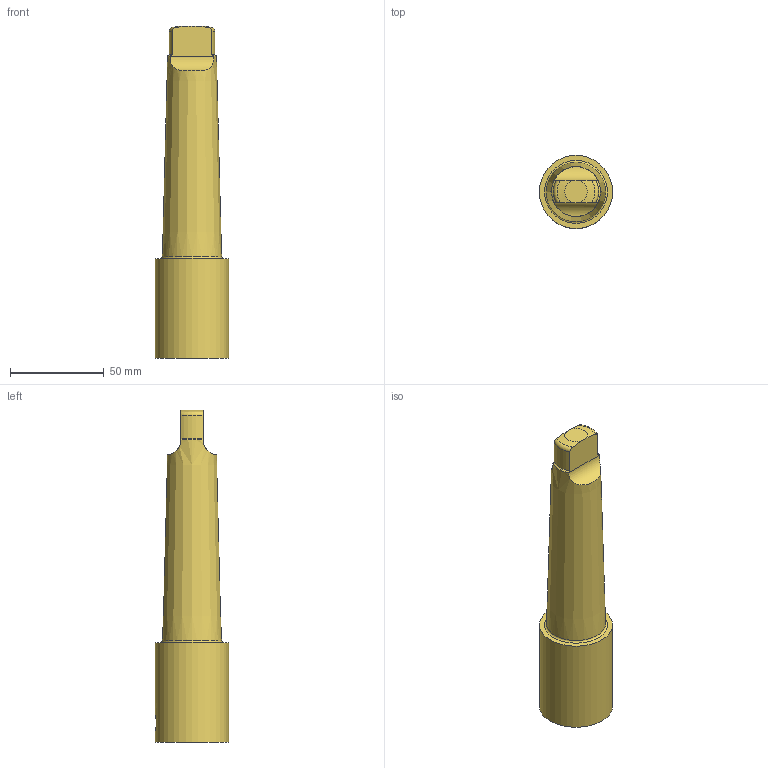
import cadquery as cq
import math

collar_diameter = 39.0
collar_length = 53.0

overall_length = 177.0
taper_gauge_diameter = 31.267
taper_ratio = 1 / 19.254
gauge_plane_offset = 6.5
root_fillet_radius = 1.0

tang_diameter = 24.2
tang_thickness = 11.9
tang_flat_length = 16.0
tang_neck_length = 15.2
shoulder_drop = 0.6
tang_run_out_radius = 8.0

end_flat_diameter = 12.0
crown_drop = 0.7
tang_corner_radius = 2.0

screw_hole_diameter = 8.3
screw_hole_height = 10.0
screw_hole_depth = 8.5


def taper_radius(z):
    """Radius of the Morse taper at height z."""
    gauge_z = collar_length + gauge_plane_offset
    return (taper_gauge_diameter - (z - gauge_z) * taper_ratio) / 2


def make_collar():
    return cq.Workplane("XY").circle(collar_diameter / 2).extrude(collar_length)


def make_shank():
    """Revolved taper, with a concave fillet at its root and a crowned tang at its free end."""
    fillet_top = collar_length + root_fillet_radius
    root_radius = taper_radius(fillet_top)
    neck_z = overall_length - tang_neck_length
    shoulder_z = neck_z - shoulder_drop
    tang_radius = tang_diameter / 2

    crown_radius = tang_radius - tang_corner_radius
    crown_z = overall_length - crown_drop
    corner_z = crown_z - tang_corner_radius
    arc_offset = tang_corner_radius * math.sqrt(0.5)

    fillet_offset = root_fillet_radius * (1 - math.sqrt(0.5))
    profile = (
        cq.Workplane("XZ")
        .moveTo(0, collar_length)
        .lineTo(root_radius + root_fillet_radius, collar_length)
        .threePointArc(
            (root_radius + fillet_offset, collar_length + fillet_offset),
            (root_radius, fillet_top),
        )
        .lineTo(taper_radius(shoulder_z), shoulder_z)
        .lineTo(tang_radius, neck_z)
        .lineTo(tang_radius, corner_z)
        .threePointArc((crown_radius + arc_offset, corner_z + arc_offset), (crown_radius, crown_z))
        .lineTo(end_flat_diameter / 2, overall_length)
        .lineTo(0, overall_length)
        .close()
    )
    return profile.revolve(360, (0, 0, 0), (0, 1, 0))


def make_tang_cutter(side):
    """Material beside one tang flat (side = +1 or -1 along Y), running out on an arc."""
    flat_y = tang_thickness / 2
    flat_z = overall_length - tang_flat_length
    run_out_y = flat_y + tang_run_out_radius
    run_out_z = flat_z - tang_run_out_radius
    arc_offset = tang_run_out_radius * (1 - math.sqrt(0.5))
    return (
        cq.Workplane("YZ")
        .moveTo(side * flat_y, overall_length)
        .lineTo(side * flat_y, flat_z)
        .threePointArc(
            (side * (flat_y + arc_offset), run_out_z + arc_offset),
            (side * run_out_y, run_out_z),
        )
        .lineTo(side * run_out_y, overall_length)
        .close()
        .extrude(collar_diameter / 2, both=True)
    )


def make_screw_hole():
    floor_y = collar_diameter / 2 - screw_hole_depth
    return (
        cq.Workplane("XZ", origin=(0, floor_y, screw_hole_height))
        .circle(screw_hole_diameter / 2)
        .extrude(-collar_diameter)
    )


result = make_collar().union(make_shank())
for side in (-1, 1):
    result = result.cut(make_tang_cutter(side))
result = result.cut(make_screw_hole())